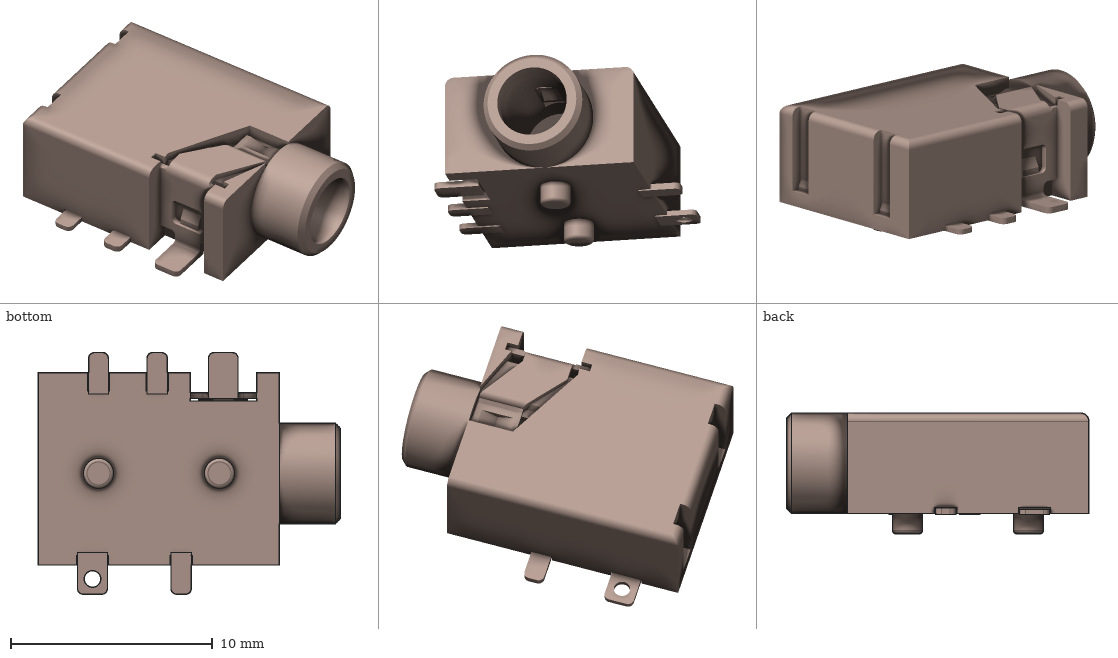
import cadquery as cq
import math


body_length = 11.97
body_front = -5.0
body_back = 4.55
body_height = 5.0
top_round = 0.42

barrel_end = 15.0
barrel_radius = body_height / 2
barrel_chamfer = 0.25
bore_radius = 1.75
bore_end = 7.56

peg_radius = 0.75
peg_length = 1.0
peg_round = 0.18
peg_xs = (3.0, 9.0)

slot_ys = (-3.0, 3.0)
slot_width = 1.2
slot_depth = 0.54
slot_bottom = 0.75
latch_width = 1.11
latch_protrusion = 0.16
latch_step = 0.93
latch_top = 1.26

sheet = 0.3
pad_bottom = -0.05
pad_top = 0.27
thin_pad_top = 0.21
pad_reach = 6.0
pad_root = 4.08
pad_round = 0.3
pad_gap = 0.05

solder_pads = (
    (1.95, 3.45, thin_pad_top, 1),
    (6.58, 7.6, pad_top, 1),
    (2.5, 3.5, thin_pad_top, -1),
    (5.4, 6.42, pad_top, -1),
)
pad_hole_x = 2.7
pad_hole_y = 5.24
pad_hole_diameter = 0.81

notch_left = 7.56
notch_right = 10.85
plate_front = -4.0
plate_back = plate_front + sheet
wall_front = -3.6
ear_left = 7.0
ear_right = 11.4
ear_round = 0.22
plate_bottom = 0.93
plate_top = 4.62
neck_left = 8.45
neck_right = 9.93
neck_round = 0.27
pad_bend = 0.18

window_left = 8.25
window_right = 10.08
window_bottom = 1.41
window_top = 2.86
window_round = 0.25
bump_left = 8.67
bump_right = 9.72
bump_front = wall_front - 0.25
bump_step = 1.71
bump_top = 2.22

tongue_left = 7.96
tongue_right = 10.38
tongue_top = 4.9
fold_radius = 0.51
fold_y = plate_front + fold_radius
fold_z = tongue_top - fold_radius
foot_round = 0.15
tongue_end = -1.1
blade_left = 9.62
blade_right = 11.88
blade_end = 0.62
taper_front_left = -2.88
taper_back_left = -0.81
taper_back_right = -0.9
blade_start = -0.6
blade_top = 4.5
knee_radius = 0.3
groove_left = 9.9
groove_right = 11.6
groove_front = -0.22
groove_depth = 0.3

pocket_back = 0.81
pocket_back_left = 9.68
pocket_front_left = 7.52
pocket_front_right = 11.07
pocket_floor = 4.5
shelf_level = 4.28
opening_front = -0.54
opening_back = 0.58
opening_right = 11.85
floor_edge = -1.22
floor_front = -3.25
lead_in_bottom = 3.6

overlap = 0.15


def box(x0, x1, y0, y1, z0, z1):
    return cq.Workplane("XY").box(x1 - x0, y1 - y0, z1 - z0, centered=False).translate((x0, y0, z0))


def prism_along_x(points, x0, x1):
    """Extrude a closed (Y, Z) outline from x0 to x1."""
    return cq.Workplane("YZ", origin=(x0, 0, 0)).polyline(points).close().extrude(x1 - x0)


def prism_along_y(points, y0, y1):
    """Extrude a closed (X, Z) outline from y0 to y1."""
    return cq.Workplane("XZ", origin=(0, y1, 0)).polyline(points).close().extrude(y1 - y0)


def housing():
    block = box(0, body_length, body_front, body_back, 0, body_height)
    block = block.faces(">Z").edges("<X or <Y or >Y").fillet(top_round)
    barrel = (
        cq.Workplane("YZ", origin=(bore_end, 0, barrel_radius))
        .circle(barrel_radius)
        .extrude(barrel_end - bore_end)
        .faces(">X")
        .chamfer(barrel_chamfer)
    )
    return block.union(barrel)


def plug_bore():
    return (
        cq.Workplane("YZ", origin=(bore_end, 0, barrel_radius))
        .circle(bore_radius)
        .extrude(barrel_end - bore_end)
    )


def pegs():
    return (
        cq.Workplane("XY")
        .pushPoints([(x, 0) for x in peg_xs])
        .circle(peg_radius)
        .extrude(-peg_length)
        .faces("<Z")
        .edges()
        .fillet(peg_round)
    )


def latch_slot(y):
    half = slot_width / 2
    return box(0, slot_depth, y - half, y + half, slot_bottom, body_height)


def slot_latch(y):
    tip = slot_depth - latch_protrusion
    outline = [
        (slot_depth, slot_bottom),
        (tip, slot_bottom),
        (tip, latch_step),
        (slot_depth, latch_top),
    ]
    half = latch_width / 2
    return prism_along_y(outline, y - half, y + half)


def front_notch():
    notch = box(notch_left, notch_right, body_front, wall_front, 0, body_height)
    ear_slot = box(ear_left, ear_right, plate_front, wall_front, plate_bottom, body_height)
    return notch.union(ear_slot)


def pocket():
    """Pocket under the tongue: outline seen from above, trimmed by a stepped floor, open to the bore."""
    outline = [
        (pocket_back_left, pocket_back),
        (body_length, pocket_back),
        (body_length, floor_edge),
        (pocket_front_right, wall_front),
        (notch_left, wall_front),
        (pocket_front_left, floor_front),
    ]
    plan = cq.Workplane("XY").polyline(outline).close().extrude(body_height)
    slope_end = floor_edge + pocket_floor - shelf_level
    floor = [
        (pocket_back, body_height),
        (pocket_back, shelf_level),
        (slope_end, shelf_level),
        (floor_edge, pocket_floor),
        (floor_front, pocket_floor),
        (wall_front, lead_in_bottom),
        (wall_front, body_height),
    ]
    stepped = plan.intersect(prism_along_x(floor, notch_left - overlap, body_length))
    opening = box(bore_end, opening_right, opening_front, opening_back, barrel_radius, shelf_level)
    return stepped.union(plan.intersect(opening))


def side_span(side, inner, outer):
    """Y range between two distances from the jack axis, on the front (-1) or back (+1) side."""
    return sorted((side * inner, side * outer))


def pad_recess(left, right, side):
    """Shallow recess under the housing that clears a pad."""
    wall = body_back if side > 0 else -body_front
    y0, y1 = side_span(side, pad_root, wall)
    return box(left - pad_gap, right + pad_gap, y0, y1, 0, pad_top + pad_gap)


def solder_pad(left, right, top, side):
    y0, y1 = side_span(side, pad_root - overlap, pad_reach)
    pad = box(left, right, y0, y1, pad_bottom, top)
    return pad.edges("|Z").edges(">Y" if side > 0 else "<Y").fillet(pad_round)


def upright_plate():
    plate = box(ear_left, ear_right, plate_front, plate_back, plate_bottom, plate_top)
    plate = plate.edges("|Y").edges(">Z").fillet(ear_round)
    neck = box(neck_left, neck_right, plate_front, plate_back, pad_bottom, plate_bottom)
    plate = plate.union(neck)
    inner_corners = cq.selectors.BoxSelector(
        (neck_left - overlap, plate_front - overlap, plate_bottom - overlap),
        (neck_right + overlap, plate_back + overlap, plate_bottom + overlap),
    )
    plate = plate.edges("|Y").edges(inner_corners).fillet(neck_round)
    window = box(window_left, window_right, plate_front, plate_back, window_bottom, window_top)
    return plate.cut(window.edges("|Y").fillet(window_round))


def plate_pad():
    """Pad folded out from the neck, with a rounded inner bend."""
    pad = box(neck_left, neck_right, -pad_reach, plate_back, pad_bottom, pad_top)
    pad = pad.edges("|Z").edges("<Y").fillet(pad_round)
    bend = box(neck_left, neck_right, plate_front - pad_bend, plate_front, pad_top, pad_top + pad_bend)
    hollow = (
        cq.Workplane("YZ", origin=(neck_left, plate_front - pad_bend, pad_top + pad_bend))
        .circle(pad_bend)
        .extrude(neck_right - neck_left)
    )
    return pad.union(bend.cut(hollow))


def tongue_foot():
    """Front outline of the fold: flared into the shoulders, with concave rounds above them."""
    diagonal = foot_round * math.sqrt(0.5)
    flare_left = tongue_left - foot_round
    flare_right = tongue_right + foot_round
    foot_top = plate_top + foot_round
    return (
        cq.Workplane("XZ", origin=(0, plate_back, 0))
        .moveTo(tongue_left, fold_z)
        .lineTo(flare_left, plate_top)
        .threePointArc((flare_left + diagonal, foot_top - diagonal), (tongue_left, foot_top))
        .lineTo(tongue_right, foot_top)
        .threePointArc((flare_right - diagonal, foot_top - diagonal), (flare_right, plate_top))
        .lineTo(tongue_right, fold_z)
        .close()
        .extrude(sheet)
    )


def tongue():
    """Sheet folded back from the plate top, kneed down to the blade; trimmed to its plan outline."""
    inner_radius = fold_radius - sheet
    diagonal = math.sqrt(0.5)
    knee_y = tongue_end + knee_radius
    side = (
        cq.Workplane("YZ", origin=(tongue_left - foot_round, 0, 0))
        .moveTo(plate_front, fold_z - overlap)
        .lineTo(plate_front, fold_z)
        .threePointArc(
            (fold_y - fold_radius * diagonal, fold_z + fold_radius * diagonal),
            (fold_y, tongue_top),
        )
        .lineTo(tongue_end, tongue_top)
        .threePointArc(
            (tongue_end + knee_radius * diagonal, tongue_top - knee_radius * (1 - diagonal)),
            (knee_y, tongue_top - knee_radius),
        )
        .lineTo(blade_start, blade_top)
        .lineTo(blade_end, blade_top)
        .lineTo(blade_end, blade_top - sheet)
        .lineTo(knee_y - sheet, blade_top - sheet)
        .lineTo(tongue_end, tongue_top - sheet)
        .lineTo(fold_y, tongue_top - sheet)
        .threePointArc(
            (fold_y - inner_radius * diagonal, fold_z + inner_radius * diagonal),
            (fold_y - inner_radius, fold_z),
        )
        .lineTo(fold_y - inner_radius, fold_z - overlap)
        .close()
        .extrude(blade_right - tongue_left + foot_round)
    )
    outline = [
        (tongue_left, plate_front),
        (tongue_right, plate_front),
        (tongue_right, floor_front),
        (blade_right, taper_back_right),
        (blade_right, blade_end),
        (blade_left, blade_end),
        (blade_left, taper_back_left),
        (tongue_left, taper_front_left),
    ]
    plan = cq.Workplane("XY").polyline(outline).close().extrude(body_height)
    return side.intersect(plan).union(side.intersect(tongue_foot()))


def contact_groove(level):
    """V shape pressed into the blade, measured down from the given level."""
    middle = (groove_left + groove_right) / 2
    outline = [(groove_left, level), (middle, level - groove_depth), (groove_right, level)]
    return prism_along_y(outline, groove_front, blade_end)


def wall_bump():
    outline = [
        (wall_front, window_bottom),
        (bump_front, window_bottom),
        (bump_front, bump_step),
        (wall_front, bump_top),
    ]
    return prism_along_x(outline, bump_left, bump_right)


result = housing().union(pegs())

for y in slot_ys:
    result = result.cut(latch_slot(y)).union(slot_latch(y))

result = result.cut(front_notch()).cut(plug_bore()).cut(pocket())

for left, right, top, side in solder_pads:
    result = result.cut(pad_recess(left, right, side)).union(solder_pad(left, right, top, side))
pad_hole = cq.Workplane("XY", origin=(pad_hole_x, pad_hole_y, pad_bottom)).circle(pad_hole_diameter / 2)
result = result.cut(pad_hole.extrude(thin_pad_top - pad_bottom))

plate = upright_plate().cut(tongue_foot())
result = result.union(wall_bump()).union(plate).union(plate_pad()).union(tongue())
result = result.union(contact_groove(blade_top - sheet)).cut(contact_groove(blade_top))